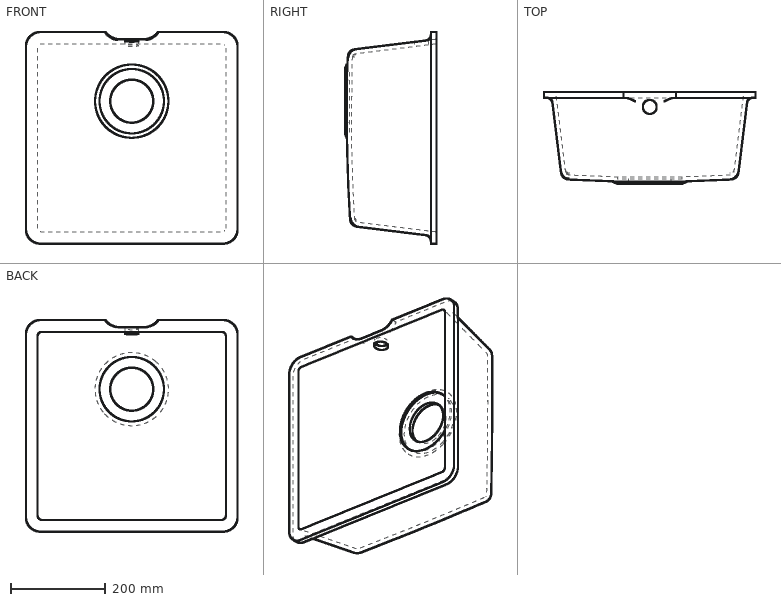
import cadquery as cq
import math

rim_side = 449.2
rim_thickness = 12.5
rim_corner_radius = 31.5
rim_fillet = 11.5
total_depth = 195.0

bowl_half_width = 209.5
draft_angle = 7.0
bowl_edge_radius = 19.0
wall_thickness = 10.0

floor_depths_center = (187.5, 190.5, 181.0)
floor_depths_side = (182.5, 182.5, 179.0)

drain_height = 77.5
drain_hole_radius = 45.5
drain_pad_radius = 68.5
drain_pad_base_radius = 77.5
drain_pad_height = 4.0

overflow_depth = 32.0
overflow_radius = 15.0
notch_half_width = 56.0
notch_flat_half_width = 26.0


def floor_block(inset):
    """Block from the rim plane down to the dished floor, raised by inset."""
    half = rim_side / 2
    wires = []
    for x, depths in ((-half, floor_depths_side), (0, floor_depths_center), (half, floor_depths_side)):
        upper, middle, lower = [inset - depth for depth in depths]
        outline = (
            cq.Workplane("YZ", origin=(x, 0, 0))
            .moveTo(0, half)
            .lineTo(upper, half)
            .threePointArc((middle, 0), (lower, -half))
            .lineTo(0, -half)
            .close()
        )
        wires.append(outline.val())
    return cq.Workplane(cq.Solid.makeLoft(wires, False))


def bowl_body(inset):
    """Drafted bowl with rounded edges, all faces moved inward by inset."""
    width = 2 * (bowl_half_width - inset / math.cos(math.radians(draft_angle)))
    radius = bowl_edge_radius - inset
    drafted = cq.Workplane("XZ").rect(width, width).extrude(total_depth + rim_thickness, taper=draft_angle)
    body = drafted.intersect(floor_block(inset))
    rounded_edges = [edge for edge in body.edges().vals() if edge.Center().y < -rim_thickness]
    return body.newObject(rounded_edges).fillet(radius)


def rim():
    return (
        cq.Workplane("XZ")
        .rect(rim_side, rim_side)
        .extrude(rim_thickness)
        .edges("|Y")
        .fillet(rim_corner_radius)
    )


def rim_notch():
    """Cutter flush with the drafted wall, with two arcs sweeping out to the rim edge."""
    margin = 4.5
    top = rim_side / 2
    arc_width = notch_half_width - notch_flat_half_width
    notch_depth = top - bowl_half_width
    arc_radius = (arc_width**2 + notch_depth**2) / (2 * notch_depth)
    half_angle = math.asin(arc_width / arc_radius) / 2
    mid_x = notch_flat_half_width + arc_radius * math.sin(half_angle)
    mid_z = bowl_half_width + arc_radius * (1 - math.cos(half_angle))
    cutter = (
        cq.Workplane("XZ", origin=(0, margin, 0))
        .moveTo(-notch_flat_half_width, bowl_half_width)
        .lineTo(notch_flat_half_width, bowl_half_width)
        .threePointArc((mid_x, mid_z), (notch_half_width, top))
        .lineTo(notch_half_width, top + margin)
        .lineTo(-notch_half_width, top + margin)
        .lineTo(-notch_half_width, top)
        .threePointArc((-mid_x, mid_z), (-notch_flat_half_width, bowl_half_width))
        .close()
        .extrude(margin + rim_thickness + 2 * rim_fillet)
    )
    return cutter.rotate((0, 0, bowl_half_width), (1, 0, bowl_half_width), draft_angle)


def drain_pad():
    """Conical pad under the floor around the drain."""
    taper = math.degrees(math.atan((drain_pad_base_radius - drain_pad_radius) / drain_pad_height))
    pad_base = drain_pad_height - total_depth
    core_length = wall_thickness / 2
    cone = (
        cq.Workplane("XZ", origin=(0, pad_base, drain_height))
        .circle(drain_pad_base_radius)
        .extrude(drain_pad_height, taper=taper)
    )
    core = (
        cq.Workplane("XZ", origin=(0, pad_base + core_length, drain_height))
        .circle(drain_pad_base_radius)
        .extrude(core_length)
    )
    return cone.union(core)


def drain_seat():
    """Flat inner recess that keeps the wall thickness constant over the pad."""
    return (
        cq.Workplane("XZ", origin=(0, wall_thickness - total_depth, drain_height))
        .circle(drain_pad_radius)
        .extrude(-wall_thickness)
    )


def drain_hole():
    return (
        cq.Workplane("XZ", origin=(0, 0, drain_height))
        .circle(drain_hole_radius)
        .extrude(2 * total_depth)
    )


def overflow_hole():
    return cq.Workplane("XY").center(0, -overflow_depth).circle(overflow_radius).extrude(rim_side)


outer_bowl = bowl_body(0)
flanged = rim().union(outer_bowl)

joint_selector = cq.selectors.BoxSelector(
    (-bowl_half_width, -1.1 * rim_thickness, -bowl_half_width),
    (bowl_half_width, -0.9 * rim_thickness, bowl_half_width),
)
flanged = flanged.edges(joint_selector).fillet(rim_fillet)

shell = flanged.cut(rim_notch()).union(outer_bowl).union(drain_pad())
result = shell.cut(bowl_body(wall_thickness)).cut(drain_seat()).cut(drain_hole()).cut(overflow_hole())